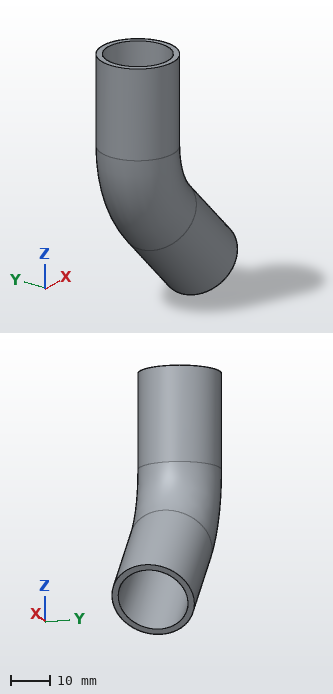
import cadquery as cq
import math

outer_diameter = 21.3
wall_thickness = 1.65
leg_length = 25.0
bend_radius = 30.0
bend_angle = 45.0

outer_radius = outer_diameter / 2
inner_radius = outer_radius - wall_thickness


def point_on_bend(angle):
    """Centreline point after turning by angle degrees from the upright leg."""
    turn = math.radians(angle)
    return (bend_radius * (1 - math.cos(turn)), -bend_radius * math.sin(turn))


def centreline():
    """Upright leg, circular bend and slanted leg in the XZ plane."""
    bend_end_x, bend_end_z = point_on_bend(bend_angle)
    slant = math.radians(bend_angle)
    leg_end = (
        bend_end_x + leg_length * math.sin(slant),
        bend_end_z - leg_length * math.cos(slant),
    )
    return (
        cq.Workplane("XZ")
        .moveTo(0, leg_length)
        .lineTo(0, 0)
        .threePointArc(point_on_bend(bend_angle / 2), (bend_end_x, bend_end_z))
        .lineTo(*leg_end)
    )


result = (
    cq.Workplane("XY", origin=(0, 0, leg_length))
    .circle(outer_radius)
    .circle(inner_radius)
    .sweep(centreline())
)